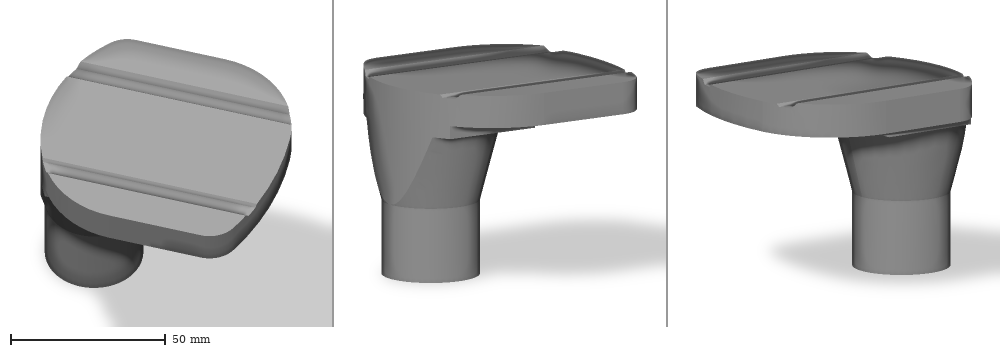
import cadquery as cq
import math

pin_radius = 16.0
pin_height = 24.55
cone_top_radius = 22.6

block_bottom = 49.6
plate_bottom = 53.9
groove_floor = 63.0
middle_top = 64.0
front_top = 64.55
back_top = 64.9

plate_length = 80.0
left_x = -pin_radius
right_x = left_x + plate_length
front_y = -40.5
back_y = 36.0
left_radius = 50.0
right_radius = 90.0
large_corner_radius = 30.0
small_corner_radius = 10.0
left_center_x = left_x + left_radius
right_center_x = right_x - right_radius

block_half_width = 24.95
block_right_x = 24.0

back_groove_inner_y = 16.0
back_groove_outer_y = 20.0
front_groove_inner_y = -22.55
front_groove_outer_y = -26.55


def corner(side_center_x, side_radius, side, edge_y, radius):
    """Arc tangent to a curved side and to a straight edge along X.

    side is -1 for the left side and 1 for the right side. Returns the arc's end on the
    curved side, its middle point and its end on the straight edge.
    """
    outward = math.copysign(1, edge_y)
    center_y = edge_y - outward * radius
    center_x = side_center_x + side * math.sqrt((side_radius - radius) ** 2 - center_y**2)
    side_angle = math.atan2(center_y, center_x - side_center_x)
    edge_angle = outward * math.pi / 2
    turn = math.remainder(edge_angle - side_angle, 2 * math.pi)
    angles = (side_angle, side_angle + turn / 2, edge_angle)
    return [(center_x + radius * math.cos(a), center_y + radius * math.sin(a)) for a in angles]


def outline_column():
    """Column with the plate's rounded outline, from the pin's top to the plate's top."""
    back_left = corner(left_center_x, left_radius, -1, back_y, small_corner_radius)
    back_right = corner(right_center_x, right_radius, 1, back_y, large_corner_radius)
    front_right = corner(right_center_x, right_radius, 1, front_y, small_corner_radius)
    front_left = corner(left_center_x, left_radius, -1, front_y, large_corner_radius)
    return (
        cq.Workplane("XY", origin=(0, 0, pin_height))
        .moveTo(*back_left[0])
        .threePointArc(back_left[1], back_left[2])
        .lineTo(*back_right[2])
        .threePointArc(back_right[1], back_right[0])
        .threePointArc((right_x, 0), front_right[0])
        .threePointArc(front_right[1], front_right[2])
        .lineTo(*front_left[2])
        .threePointArc(front_left[1], front_left[0])
        .threePointArc((left_x, 0), back_left[0])
        .close()
        .extrude(back_top - pin_height)
    )


def plate_slab():
    """Slab along X whose top carries the grooves and the stepped levels of the plate."""
    middle_rise = middle_top - groove_floor
    front_rise = front_top - groove_floor
    back_rise = back_top - groove_floor
    return (
        cq.Workplane("YZ", origin=(left_x, 0, 0))
        .polyline([
            (front_y, plate_bottom),
            (front_y, front_top),
            (front_groove_outer_y - front_rise, front_top),
            (front_groove_outer_y, groove_floor),
            (front_groove_inner_y, groove_floor),
            (front_groove_inner_y + middle_rise, middle_top),
            (back_groove_inner_y - middle_rise, middle_top),
            (back_groove_inner_y, groove_floor),
            (back_groove_outer_y, groove_floor),
            (back_groove_outer_y + back_rise, back_top),
            (back_y, back_top),
            (back_y, plate_bottom),
        ])
        .close()
        .extrude(plate_length)
    )


def cone():
    """Cone that widens from the pin up to the block."""
    return cq.Workplane("XY").add(
        cq.Solid.makeCone(
            pin_radius,
            cone_top_radius,
            block_bottom - pin_height,
            pnt=cq.Vector(0, 0, pin_height),
        )
    )


def block():
    """Block between the cone and the plate."""
    return (
        cq.Workplane("XY", origin=(left_x, 0, block_bottom))
        .box(
            block_right_x - left_x,
            2 * block_half_width,
            plate_bottom - block_bottom,
            centered=(False, True, False),
        )
    )


head = plate_slab().union(block()).union(cone()).intersect(outline_column())
pin = cq.Workplane("XY").circle(pin_radius).extrude(pin_height)
result = head.union(pin)